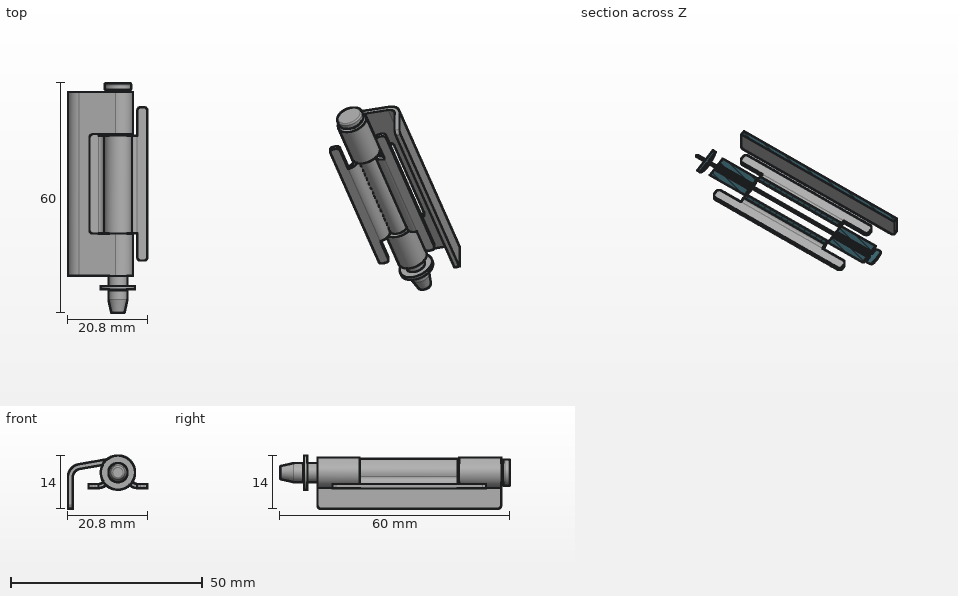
import cadquery as cq
import math


PIN_RADIUS = 2.5
HEAD_RADIUS = 3.5
HEAD_TOP = 26.3
HEAD_THICKNESS = 1.8
HEAD_FILLET = 0.4
COLLAR_RADIUS = 4.5
COLLAR_TOP = -26.6
COLLAR_THICKNESS = 0.95
GROOVE_RADIUS = 2.3
GROOVE_GAP = 0.25
TAPER_START = -30.2
PIN_LENGTH = 60.0
TIP_RADIUS = 1.75
TIP_FILLET = 0.5

LEAF_LENGTH = 48.0
LEAF_THICKNESS = 1.3
KNUCKLE_RADIUS = 3.95
LEAF_LEFT = -13.1
LEAF_BOTTOM = -9.5
LEAF_SLOPE = 10.0
BEND_RADIUS = 3.5
CURL_END = -208.0
LEAF_CORNER_RADIUS = 1.0
WINDOW_LENGTH = 26.0
WINDOW_LEFT = -7.45
WINDOW_CORNER_RADIUS = 1.0

SADDLE_THICKNESS = 1.15
BARREL_RADIUS = PIN_RADIUS + SADDLE_THICKNESS
BARREL_LENGTH = 25.5
BARREL_SHIFT = -0.1
FLANGE_LENGTH = 40.1
FLANGE_TOP = -2.95
FLANGE_INNER = 5.05
FLANGE_OUTER = 7.7
FLANGE_CORNER_RADIUS = 0.9


def polar(radius, degrees, center=(0, 0)):
    """Point at an angle around a center in the XZ plane."""
    angle = math.radians(degrees)
    return (center[0] + radius * math.cos(angle), center[1] + radius * math.sin(angle))


def profile_plane(length, middle=0.0):
    """XZ plane placed so that extruding by length is centred on Y = middle."""
    return cq.Workplane("XZ", origin=(0, middle + length / 2, 0))


def make_pin():
    """Headed pin with a collar and a tapered tip, turned about Y."""
    tip = HEAD_TOP - PIN_LENGTH
    head_bottom = HEAD_TOP - HEAD_THICKNESS
    collar_bottom = COLLAR_TOP - COLLAR_THICKNESS
    groove_bottom = collar_bottom - GROOVE_GAP
    shank = (
        cq.Workplane("XY")
        .moveTo(0, head_bottom)
        .lineTo(PIN_RADIUS, head_bottom)
        .lineTo(PIN_RADIUS, COLLAR_TOP)
        .lineTo(COLLAR_RADIUS, COLLAR_TOP)
        .lineTo(COLLAR_RADIUS, collar_bottom)
        .lineTo(GROOVE_RADIUS, collar_bottom)
        .lineTo(GROOVE_RADIUS, groove_bottom)
        .lineTo(PIN_RADIUS, groove_bottom)
        .lineTo(PIN_RADIUS, TAPER_START)
        .lineTo(TIP_RADIUS, tip)
        .lineTo(0, tip)
        .close()
        .revolve(360, (0, 0, 0), (0, 1, 0))
    )
    shank = shank.faces("<Y").edges().fillet(TIP_FILLET)
    head = (
        cq.Workplane("XZ", origin=(0, HEAD_TOP, 0))
        .circle(HEAD_RADIUS)
        .extrude(HEAD_THICKNESS)
        .faces("<Y or >Y")
        .edges()
        .fillet(HEAD_FILLET)
    )
    return shank.union(head)


def make_leaf():
    """Sheet leaf: upright wall, bend, sloping web and curl around the pin."""
    web_normal = 90 + LEAF_SLOPE
    curl_middle = (web_normal + CURL_END) / 2
    bore = KNUCKLE_RADIUS - LEAF_THICKNESS
    bend_inner = BEND_RADIUS - LEAF_THICKNESS

    bend_x = LEAF_LEFT + BEND_RADIUS
    slope = math.radians(LEAF_SLOPE)
    bend_z = (KNUCKLE_RADIUS - BEND_RADIUS + bend_x * math.sin(slope)) / math.cos(slope)
    bend = (bend_x, bend_z)
    bend_middle = (180 + web_normal) / 2

    leaf = (
        profile_plane(LEAF_LENGTH)
        .moveTo(LEAF_LEFT, LEAF_BOTTOM)
        .lineTo(LEAF_LEFT, bend_z)
        .threePointArc(polar(BEND_RADIUS, bend_middle, bend), polar(BEND_RADIUS, web_normal, bend))
        .lineTo(*polar(KNUCKLE_RADIUS, web_normal))
        .threePointArc(polar(KNUCKLE_RADIUS, curl_middle), polar(KNUCKLE_RADIUS, CURL_END))
        .lineTo(*polar(bore, CURL_END))
        .threePointArc(polar(bore, curl_middle), polar(bore, web_normal))
        .lineTo(*polar(bend_inner, web_normal, bend))
        .threePointArc(
            polar(bend_inner, bend_middle, bend), (LEAF_LEFT + LEAF_THICKNESS, bend_z)
        )
        .lineTo(LEAF_LEFT + LEAF_THICKNESS, LEAF_BOTTOM)
        .close()
        .extrude(LEAF_LENGTH)
    )
    leaf = leaf.faces("<Z").edges("|X").fillet(LEAF_CORNER_RADIUS)

    window_width = 2 * KNUCKLE_RADIUS - WINDOW_LEFT
    window_height = 4 * KNUCKLE_RADIUS
    window = (
        cq.Workplane("XY")
        .box(window_width, WINDOW_LENGTH, window_height, centered=(False, True, True))
        .translate((WINDOW_LEFT, 0, 0))
        .edges("|Z and <X")
        .fillet(WINDOW_CORNER_RADIUS)
    )
    return leaf.cut(window)


def make_flange(side):
    """Flat strip beside the barrel; side is -1 or +1 along X."""
    width = FLANGE_OUTER - FLANGE_INNER
    middle_x = side * (FLANGE_INNER + FLANGE_OUTER) / 2
    return (
        cq.Workplane("XY", origin=(middle_x, 0, FLANGE_TOP - SADDLE_THICKNESS))
        .rect(width, FLANGE_LENGTH)
        .extrude(SADDLE_THICKNESS)
        .edges("|Z")
        .fillet(FLANGE_CORNER_RADIUS)
    )


def make_saddle():
    """Sheet arched over the pin and flared out into the two flanges."""
    flare_radius = (FLANGE_INNER**2 + FLANGE_TOP**2 - BARREL_RADIUS**2) / (
        2 * (BARREL_RADIUS - FLANGE_TOP)
    )
    flare_outer = flare_radius + SADDLE_THICKNESS
    flare_z = FLANGE_TOP + flare_radius
    right_flare = (FLANGE_INNER, flare_z)
    left_flare = (-FLANGE_INNER, flare_z)
    tangent = math.degrees(math.atan2(flare_z, FLANGE_INNER))
    right_start = 180 + tangent
    left_start = -tangent
    right_middle = (right_start + 270) / 2
    left_middle = (left_start - 90) / 2
    flange_bottom = FLANGE_TOP - SADDLE_THICKNESS

    saddle = (
        profile_plane(BARREL_LENGTH, BARREL_SHIFT)
        .moveTo(FLANGE_INNER, FLANGE_TOP)
        .threePointArc(
            polar(flare_radius, right_middle, right_flare), polar(BARREL_RADIUS, tangent)
        )
        .threePointArc((0, BARREL_RADIUS), polar(BARREL_RADIUS, 180 - tangent))
        .threePointArc(
            polar(flare_radius, left_middle, left_flare), (-FLANGE_INNER, FLANGE_TOP)
        )
        .lineTo(-FLANGE_INNER, flange_bottom)
        .threePointArc(
            polar(flare_outer, left_middle, left_flare), polar(PIN_RADIUS, 180 - tangent)
        )
        .threePointArc((0, PIN_RADIUS), polar(PIN_RADIUS, tangent))
        .threePointArc(
            polar(flare_outer, right_middle, right_flare), (FLANGE_INNER, flange_bottom)
        )
        .close()
        .extrude(BARREL_LENGTH)
    )
    for side in (-1, 1):
        saddle = saddle.union(make_flange(side))
    return saddle


pin = make_pin()
leaf = make_leaf()
saddle = make_saddle()
result = cq.Compound.makeCompound([pin.val(), leaf.val(), saddle.val()])